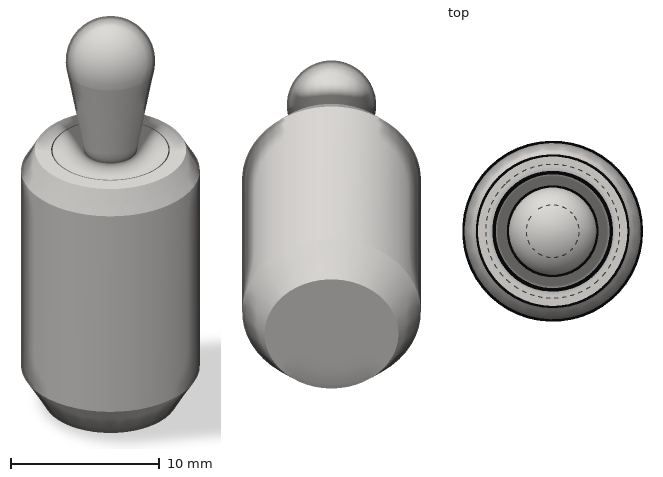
import cadquery as cq
import math

total_height = 29.5
housing_height = 19.5
housing_radius = 6.003

top_taper_width = 0.9
top_taper_height = 1.6
bottom_taper_width = 1.5
bottom_taper_height = 2.57

recess_radius = 3.98
recess_depth = 2.95
disc_gap = 0.1
disc_radius = recess_radius - disc_gap
recess_floor = housing_height - recess_depth

ball_radius = 3.0
neck_radius = 1.77
ball_center = total_height - ball_radius


def make_housing():
    top_radius = housing_radius - top_taper_width
    bottom_radius = housing_radius - bottom_taper_width
    body = (
        cq.Workplane("XZ")
        .lineTo(bottom_radius, 0)
        .lineTo(housing_radius, bottom_taper_height)
        .lineTo(housing_radius, housing_height - top_taper_height)
        .lineTo(top_radius, housing_height)
        .lineTo(0, housing_height)
        .close()
        .revolve(360, (0, 0), (0, 1))
    )
    recess = cq.Workplane("XY", origin=(0, 0, recess_floor)).circle(recess_radius).extrude(recess_depth)
    return body.cut(recess)


def make_disc():
    return (
        cq.Workplane("XY", origin=(0, 0, recess_floor))
        .circle(disc_radius)
        .circle(neck_radius)
        .extrude(recess_depth)
    )


def make_pin():
    neck_drop = ball_center - housing_height
    half_angle = math.asin(ball_radius / math.hypot(neck_radius, neck_drop)) - math.atan2(neck_radius, neck_drop)
    tangent_radius = ball_radius * math.cos(half_angle)
    tangent_height = ball_center - ball_radius * math.sin(half_angle)
    arc_angle = (math.pi / 2 - half_angle) / 2
    arc_middle = (
        ball_radius * math.cos(arc_angle),
        ball_center + ball_radius * math.sin(arc_angle),
    )
    return (
        cq.Workplane("XZ")
        .moveTo(0, recess_floor)
        .lineTo(neck_radius, recess_floor)
        .lineTo(neck_radius, housing_height)
        .lineTo(tangent_radius, tangent_height)
        .threePointArc(arc_middle, (0, total_height))
        .close()
        .revolve(360, (0, 0), (0, 1))
    )


housing = make_housing()
disc = make_disc()
pin = make_pin()

result = cq.Compound.makeCompound([housing.val(), disc.val(), pin.val()])